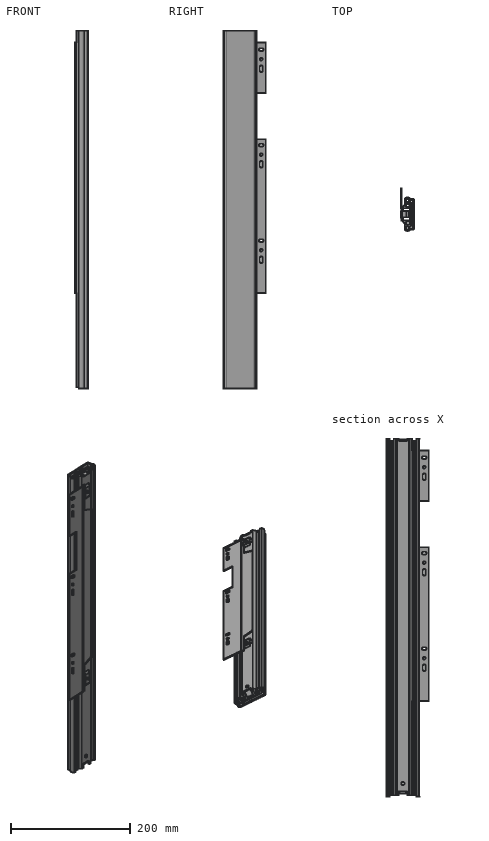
import cadquery as cq

slide_length = 600.0
depth = 22.6
half_width = 28.2
overall_width = 71.89
rail_front = 6.3

ball_x = 11.3
ball_radius = 2.5
outer_ball_y = 22.9
inner_ball_y = 14.6

outer_web = 2.2
outer_arm_outside = 26.0
outer_arm_inside = 23.6
outer_lip_inside = 22.2
outer_corner = 3.1
bulge_half_span = 4.5

middle_bottom = 2.0
middle_top = 596.0
middle_back = 17.6
middle_web = 2.2
middle_corner = 2.8
middle_arm_outside = 20.7
middle_arm_inside = 16.8

inner_bottom = 2.0
inner_front = 2.6
inner_thickness = 1.8
inner_web_half = 11.2
inner_shoulder_half = 15.4
inner_arm_back = 14.0
inner_arm_outside = 13.0
inner_arm_inside = 9.8
tab_half_width = 5.5
tab_notch_half_width = 7.0
top_tab_back = 9.5
bottom_tab_back = 13.8
tab_thickness = 1.5
top_tab_rise = 2.5
bottom_tab_rise = 5.5
tab_end_gap = 1.0
rail_hole_z = 22.0
rail_hole_diameter = 5.0

sheet = 1.5
bracket_bottom = 160.0
bracket_top = 580.0
flange_outer_y = overall_width - half_width
jog_flange_y = 10.4
jog_foot_y = 8.7
jog_inside_shift = 0.8
foot_front = inner_front - sheet
cutout_bottom = 418.0
cutout_top = 495.0
cutout_y = 26.6
hole_y = 35.7
hole_group_tops = (568.0, 408.0, 248.0)
hole_spacing = 16.0
hole_diameter = 4.0
cross_slot_length = 7.5
upright_slot_length = 11.0
notch_y = 5.3
notch_short = 52.0
notch_long = 59.0
relief_length = 11.0
relief_depth = 1.5

clip_centres = (563.0, 181.5)
clip_length = 28.0
clip_ramp = 3.6
clip_upper_y = 4.7
clip_lower_y = -6.0
clip_hole_diameter = 4.5
ear_y = -10.4
ear_half_length = 7.0
ear_taper = 2.0
ear_thickness = 1.0

stop_length = 20.0
stop_half_width = 10.5
stop_slot_width = 4.0
stop_floor = 1.0


def mirrored_rail(half_profile, bottom, top):
    """Extrude the +Y half of a rail section along Z and join it to its mirror image."""
    half = half_profile.close().extrude(top - bottom).translate((0, 0, bottom))
    return half.union(half.mirror("XZ"))


def ball_channels(centre_y):
    """A pair of full-length rods that cut the ball grooves into the rail arms."""
    centres = [(ball_x, centre_y), (ball_x, -centre_y)]
    return cq.Workplane("XY").pushPoints(centres).circle(ball_radius).extrude(slide_length)


def block(x_range, y_range, z_range):
    size = [high - low for low, high in (x_range, y_range, z_range)]
    corner = (x_range[0], y_range[0], z_range[0])
    return cq.Workplane("XY").box(*size, centered=False).translate(corner)


def x_drill(y, z, diameter):
    """A round drill along X, from the mounting face through the inner rail's web."""
    reach = inner_front + inner_thickness
    return cq.Workplane("YZ").center(y, z).circle(diameter / 2).extrude(reach)


def make_outer_rail():
    web_front = depth - outer_web
    profile = (
        cq.Workplane("XY")
        .moveTo(depth, 0)
        .lineTo(depth, outer_arm_outside - outer_corner)
        .radiusArc((depth - outer_corner, outer_arm_outside), -outer_corner)
        .lineTo(ball_x + bulge_half_span, outer_arm_outside)
        .threePointArc((ball_x, half_width), (ball_x - bulge_half_span, outer_arm_outside))
        .lineTo(rail_front, outer_arm_outside)
        .lineTo(rail_front, outer_lip_inside)
        .lineTo(ball_x, outer_lip_inside)
        .lineTo(ball_x, outer_arm_inside)
        .lineTo(web_front, outer_arm_inside)
        .lineTo(web_front, 0)
    )
    return mirrored_rail(profile, 0, slide_length).cut(ball_channels(outer_ball_y))


def make_intermediate_rail():
    web_front = middle_back - middle_web
    profile = (
        cq.Workplane("XY")
        .moveTo(middle_back, 0)
        .lineTo(middle_back, middle_arm_outside - middle_corner)
        .radiusArc((middle_back - middle_corner, middle_arm_outside), -middle_corner)
        .lineTo(rail_front, middle_arm_outside)
        .lineTo(rail_front, middle_arm_inside)
        .lineTo(web_front, middle_arm_inside)
        .lineTo(web_front, 0)
    )
    rail = mirrored_rail(profile, middle_bottom, middle_top)
    return rail.cut(ball_channels(outer_ball_y)).cut(ball_channels(inner_ball_y))


def end_tab(root_z, rise, back):
    """A tab bent out of the inner rail's web, sloping by `rise` on its way back to X = `back`."""
    web_back = inner_front + inner_thickness
    return (
        cq.Workplane("XZ")
        .moveTo(inner_front, root_z)
        .lineTo(back, root_z + rise)
        .lineTo(back, root_z + rise - tab_thickness)
        .lineTo(web_back, root_z - tab_thickness)
        .lineTo(inner_front, root_z - tab_thickness)
        .close()
        .extrude(tab_half_width, both=True)
    )


def make_inner_rail():
    web_back = inner_front + inner_thickness
    profile = (
        cq.Workplane("XY")
        .moveTo(inner_front, 0)
        .lineTo(inner_front, inner_web_half)
        .lineTo(rail_front, inner_shoulder_half)
        .lineTo(ball_x, inner_shoulder_half)
        .lineTo(ball_x, inner_arm_outside)
        .lineTo(inner_arm_back, inner_arm_outside)
        .lineTo(inner_arm_back, inner_arm_inside)
        .lineTo(web_back, inner_arm_inside)
        .lineTo(web_back, 0)
    )
    rail = mirrored_rail(profile, inner_bottom, slide_length).cut(ball_channels(inner_ball_y))

    web = (inner_front, web_back)
    notch_width = (-tab_notch_half_width, tab_notch_half_width)
    top_root = slide_length - tab_end_gap - top_tab_rise
    bottom_root = inner_bottom + tab_end_gap + bottom_tab_rise + tab_thickness
    rail = rail.cut(block(web, notch_width, (top_root, slide_length)))
    rail = rail.cut(block(web, notch_width, (inner_bottom, bottom_root - tab_thickness)))
    rail = rail.union(end_tab(top_root, top_tab_rise, top_tab_back))
    rail = rail.union(end_tab(bottom_root, -bottom_tab_rise, bottom_tab_back))
    return rail.cut(x_drill(0, rail_hole_z, rail_hole_diameter))


def end_notch(end_z, inward):
    """Slant-ended opening in the bracket's foot; `inward` is -1 at the top end and 1 at the bottom."""
    return (
        cq.Workplane("YZ")
        .moveTo(notch_y, end_z)
        .lineTo(notch_y, end_z + inward * notch_short)
        .lineTo(-inner_web_half, end_z + inward * notch_long)
        .lineTo(-inner_web_half, end_z)
        .close()
        .extrude(inner_front)
    )


def flange_holes(top_z):
    """A cross slot, a round hole and an upright slot, one below the other."""
    round_z = top_z - hole_spacing
    upright_z = round_z - hole_spacing
    plane = cq.Workplane("YZ")
    cross_slot = plane.center(hole_y, top_z).slot2D(cross_slot_length, hole_diameter).extrude(sheet)
    round_hole = x_drill(hole_y, round_z, hole_diameter)
    upright_slot = plane.center(hole_y, upright_z).slot2D(upright_slot_length, hole_diameter, 90).extrude(sheet)
    return cross_slot.union(round_hole).union(upright_slot)


def make_bracket():
    bracket = (
        cq.Workplane("XY", origin=(0, 0, bracket_bottom))
        .moveTo(0, flange_outer_y)
        .lineTo(0, jog_flange_y)
        .lineTo(foot_front, jog_foot_y)
        .lineTo(foot_front, -inner_web_half)
        .lineTo(inner_front, -inner_web_half)
        .lineTo(inner_front, jog_foot_y + jog_inside_shift)
        .lineTo(sheet, jog_flange_y + jog_inside_shift)
        .lineTo(sheet, flange_outer_y)
        .close()
        .extrude(bracket_top - bracket_bottom)
    )
    bracket = bracket.cut(block((0, sheet), (cutout_y, flange_outer_y), (cutout_bottom, cutout_top)))
    for top_z in hole_group_tops:
        bracket = bracket.cut(flange_holes(top_z))
    bracket = bracket.cut(end_notch(bracket_top, -1)).cut(end_notch(bracket_bottom, 1))
    relief_z = (clip_centres[0] - relief_length / 2, clip_centres[0] + relief_length / 2)
    return bracket.cut(block((0, inner_front), (notch_y, notch_y + relief_depth), relief_z))


def make_clip(centre_z):
    """A raised strap with ramped ends, a hole in the middle and a thin tapered ear on its -Y side."""
    half = clip_length / 2
    strap = (
        cq.Workplane("XZ", origin=(0, clip_upper_y, centre_z))
        .moveTo(inner_front, -half)
        .lineTo(0, clip_ramp - half)
        .lineTo(0, half - clip_ramp)
        .lineTo(inner_front, half)
        .close()
        .extrude(clip_upper_y - clip_lower_y)
    )
    ear = (
        cq.Workplane("YZ", origin=(inner_front - ear_thickness, 0, centre_z))
        .moveTo(clip_lower_y, -ear_half_length)
        .lineTo(ear_y, ear_taper - ear_half_length)
        .lineTo(ear_y, ear_half_length - ear_taper)
        .lineTo(clip_lower_y, ear_half_length)
        .close()
        .extrude(ear_thickness)
    )
    return strap.union(ear).cut(x_drill(0, centre_z, clip_hole_diameter))


def make_stop_block():
    height = (middle_top - stop_length, middle_top)
    web_front = depth - outer_web
    body = block((middle_back, web_front), (-stop_half_width, stop_half_width), height)
    slot_y = (-stop_slot_width / 2, stop_slot_width / 2)
    return body.cut(block((middle_back + stop_floor, web_front), slot_y, height))


outer_rail = make_outer_rail()
intermediate_rail = make_intermediate_rail()
inner_rail = make_inner_rail()
bracket = make_bracket()
clips = [make_clip(centre_z) for centre_z in clip_centres]
stop_block = make_stop_block()

result = cq.Compound.makeCompound(
    [
        outer_rail.val(),
        intermediate_rail.val(),
        inner_rail.val(),
        bracket.val(),
        *[clip.val() for clip in clips],
        stop_block.val(),
    ]
)